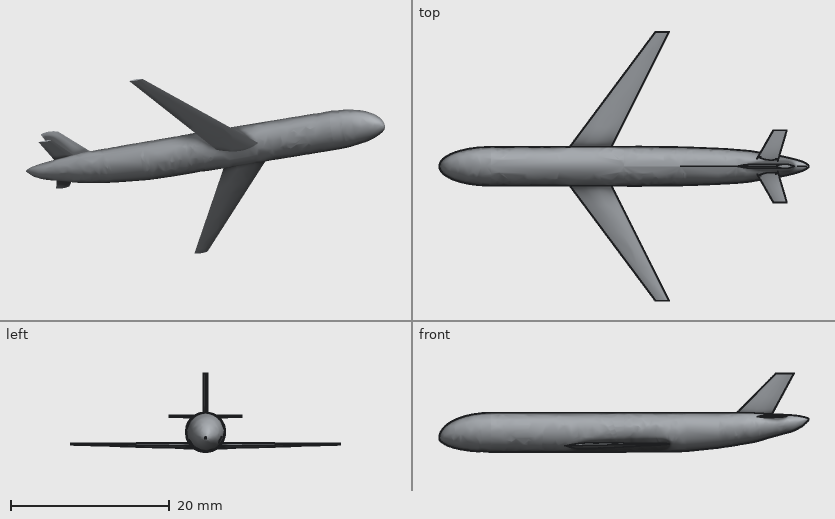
import cadquery as cq
import math

LENGTH = 46.5
BARREL_TOP = 4.97
BARREL_HALF_WIDTH = 2.45
NOSE_LENGTH = 6.5
NOSE_TIP_Z = 1.75
NOSE_STATIONS = 8
NOSE_BLUNTNESS = 0.05
REAR_START = 23.25
REAR_STATIONS = [
    (REAR_START, BARREL_TOP, 0.0, BARREL_HALF_WIDTH),
    (26.95, BARREL_TOP, 0.05, BARREL_HALF_WIDTH),
    (30.7, BARREL_TOP, 0.1, 2.4),
    (33.45, BARREL_TOP, 0.33, 2.32),
    (36.25, BARREL_TOP, 0.7, 2.2),
    (39.05, BARREL_TOP, 1.15, 1.95),
    (41.35, 4.85, 1.75, 1.6),
    (43.23, 4.75, 2.3, 1.25),
    (44.6, 4.65, 2.7, 0.95),
    (45.8, 4.45, 3.35, 0.55),
    (LENGTH, 4.25, 4.05, 0.1),
]

WING_HALF_SPAN = 16.9
WING_ROOT_X = (14.6, 20.45)
WING_TIP_X = (27.2, 28.9)
WING_TOP_Z = 1.1
WING_ROOT_THICKNESS = 0.7
WING_TIP_THICKNESS = 0.2

TAILPLANE_HALF_SPAN = 4.55
TAILPLANE_ROOT_X = (39.4, 42.4)
TAILPLANE_TIP_X = (42.0, 43.75)
TAILPLANE_TOP_Z = 4.6
TAILPLANE_ROOT_THICKNESS = 0.3
TAILPLANE_TIP_THICKNESS = 0.2

FIN_ROOT_Z = 4.65
FIN_TIP_Z = 9.9
FIN_ROOT_X = (37.15, 41.8)
FIN_TIP_X = (42.35, 44.6)
FIN_THICKNESS = 0.45

THICKEST_AT = 0.3


def fuselage_section(x, top, bottom, half_width):
    """Elliptical cross section of the fuselage at x."""
    plane = cq.Plane(origin=(x, 0, (top + bottom) / 2), xDir=(0, 1, 0), normal=(1, 0, 0))
    return cq.Workplane(plane).ellipse(half_width, (top - bottom) / 2).val()


def nose_station(index):
    """Station on a nose whose top, bottom and sides are quarter ellipses."""
    start_angle = math.asin(NOSE_BLUNTNESS)
    angle = start_angle + (math.pi / 2 - start_angle) * index / (NOSE_STATIONS - 1)
    growth = math.sin(angle)
    x = NOSE_LENGTH * (1 - math.cos(angle) / math.cos(start_angle))
    top = NOSE_TIP_Z + (BARREL_TOP - NOSE_TIP_Z) * growth
    bottom = NOSE_TIP_Z * (1 - growth)
    return x, top, bottom, BARREL_HALF_WIDTH * growth


def make_fuselage():
    nose_stations = [nose_station(i) for i in range(NOSE_STATIONS)]
    nose = cq.Solid.makeLoft([fuselage_section(*s) for s in nose_stations])
    barrel_ends = [nose_stations[-1], REAR_STATIONS[0]]
    barrel = cq.Solid.makeLoft([fuselage_section(*s) for s in barrel_ends])
    rear = cq.Solid.makeLoft([fuselage_section(*s) for s in REAR_STATIONS])
    return cq.Workplane(nose).union(cq.Workplane(barrel)).union(cq.Workplane(rear))


def airfoil(plane, chord, thickness):
    """Symmetric airfoil with its leading edge at the plane origin."""
    nose = (0, 0)
    trailing_edge = (chord, 0)
    upper = (THICKEST_AT * chord, thickness / 2)
    lower = (THICKEST_AT * chord, -thickness / 2)
    return (
        cq.Workplane(plane)
        .moveTo(*nose)
        .spline([upper, trailing_edge], includeCurrent=True)
        .spline([lower, nose], includeCurrent=True)
        .close()
        .val()
    )


def horizontal_surface(half_span, root_x, tip_x, top_z, root_thickness, tip_thickness):
    """Swept surface on both sides of the centre plane, with a level top."""
    def section(y, edges, thickness):
        plane = cq.Plane(origin=(edges[0], y, top_z - thickness / 2), xDir=(1, 0, 0), normal=(0, -1, 0))
        return airfoil(plane, edges[1] - edges[0], thickness)

    root = section(0, root_x, root_thickness)
    tip = section(half_span, tip_x, tip_thickness)
    half = cq.Workplane(cq.Solid.makeLoft([root, tip], True))
    return half.union(half.mirror("XZ"))


def make_wing():
    return horizontal_surface(
        WING_HALF_SPAN, WING_ROOT_X, WING_TIP_X, WING_TOP_Z, WING_ROOT_THICKNESS, WING_TIP_THICKNESS
    )


def make_tailplane():
    return horizontal_surface(
        TAILPLANE_HALF_SPAN, TAILPLANE_ROOT_X, TAILPLANE_TIP_X, TAILPLANE_TOP_Z,
        TAILPLANE_ROOT_THICKNESS, TAILPLANE_TIP_THICKNESS,
    )


def make_fin():
    def section(z, edges):
        plane = cq.Plane(origin=(edges[0], 0, z), xDir=(1, 0, 0), normal=(0, 0, 1))
        return airfoil(plane, edges[1] - edges[0], FIN_THICKNESS)

    root = section(FIN_ROOT_Z, FIN_ROOT_X)
    tip = section(FIN_TIP_Z, FIN_TIP_X)
    return cq.Workplane(cq.Solid.makeLoft([root, tip], True))


wing = make_wing()
tailplane = make_tailplane()
fin = make_fin()

fuselage = make_fuselage().cut(wing).cut(tailplane).cut(fin)

result = cq.Compound.makeCompound([fuselage.val(), wing.val(), tailplane.val(), fin.val()])